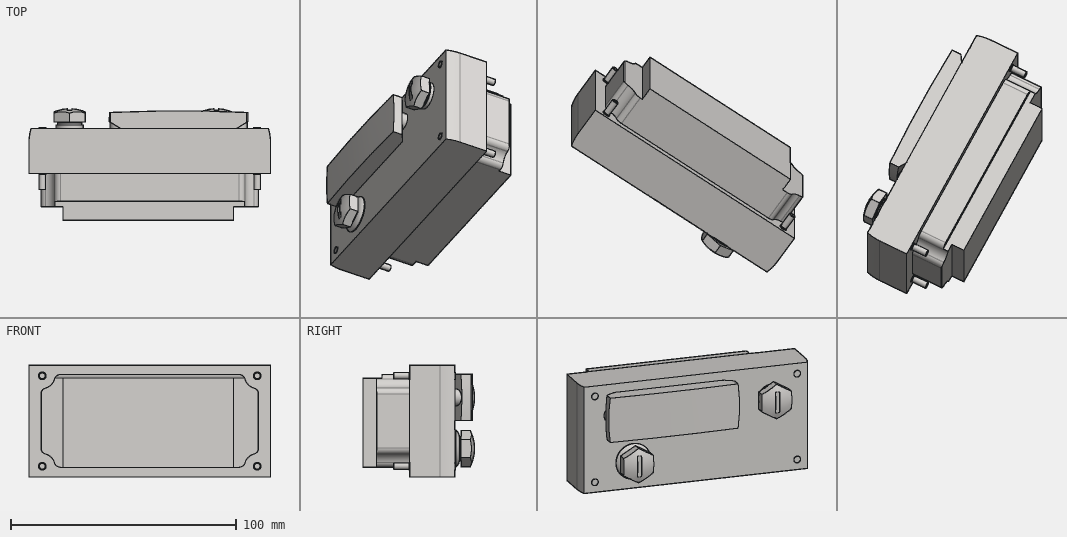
import cadquery as cq
import math


HOUSING_LENGTH = 107.3
HOUSING_HEIGHT = 49.7
HOUSING_DEPTH = 20.1
STRAIGHT_SIDE_DEPTH = 13.6
SIDE_ROUNDING_INSET = 1.0

SCREW_SPACING_X = 95.3
SCREW_SPACING_Z = 40.1
SCREW_DIAMETER = 3.1
SCREW_TIP_DIAMETER = 3.0
SCREW_REAR_LENGTH = 7.1
SCREW_FRONT_LENGTH = 0.3
SCREW_CHAMFER = 0.2
SCREW_SHOULDER_LENGTH = 0.3
SCREW_RECESS_DIAMETER = 3.4
SCREW_RECESS_DEPTH = 0.3

MODULE_LENGTH = 96.5
MODULE_TOP = 20.65
MODULE_BOTTOM = -20.5
MODULE_DEPTH = 14.7
NOTCH_RADIUS = 5.6
NOTCH_FILLET = 2.8
MODULE_END_CHAMFER = 0.35
MODULE_END_CHAMFER_HEIGHT = 25.8
LEDGE_TOP = 19.0
LEDGE_START = 12.3
LEDGE_CHAMFER_Z = 0.7
LEDGE_CHAMFER_Y = 0.2
PLATE_LEFT = -38.5
PLATE_RIGHT = 37.2
PLATE_DEPTH = 20.7

BOLT_CENTERS = {"collar": (-35.55, 10.45), "dome": (29.5, -12.2)}
BOLT_ACROSS_FLATS = 14.0
BOLT_TOP = 28.9
BOLT_HEAD_BASE = 22.9
BOLT_CROWN_RADIUS = 17.5
BOLT_NECK_DIAMETER = 10.77
BOLT_SLOT_WIDTH = 2.0
BOLT_SLOT_DEPTH = 0.7
SEAT_TOP = 22.4
SPIGOT_DIAMETER = 10.92
COLLAR_DIAMETER = 12.2
COLLAR_TOP = 21.7
DOME_RIM_DIAMETER = 16.5
DOME_TOP = 22.1
DOME_RIM_TOP = 20.5
DOME_SHOULDER_RADIUS = 4.0

COVER_CENTER_X = 12.8
COVER_CENTER_Z = 10.5
COVER_LENGTH = 61.6
COVER_HEIGHT = 20.7
COVER_TOP = 27.9
COVER_TOP_SAG = 0.7
COVER_END_SAG = 0.7
COVER_LIP_BASE = 23.2
COVER_FOOT_LENGTH = 51.6
BAR_LENGTH = 61.0
BAR_HEIGHT = 7.5


def corner_points():
    return [
        (side_x * SCREW_SPACING_X / 2, side_z * SCREW_SPACING_Z / 2)
        for side_x in (-1, 1)
        for side_z in (-1, 1)
    ]


def cylinder(center, diameter, start, end):
    """Cylinder along Y around the (x, z) center, between two Y levels."""
    x, z = center
    return cq.Workplane(
        cq.Solid.makeCylinder(diameter / 2, end - start, cq.Vector(x, start, z), cq.Vector(0, 1, 0))
    )


def box(x_range, y_range, z_range):
    """Box between the given limits on each axis."""
    size = [high - low for low, high in (x_range, y_range, z_range)]
    return cq.Workplane("XY").box(*size, centered=False).translate((x_range[0], y_range[0], z_range[0]))


def collar_seat():
    """Round collar with a narrower spigot up to the bolt neck."""
    collar = cylinder((0, 0), COLLAR_DIAMETER, HOUSING_DEPTH, COLLAR_TOP)
    return collar.union(cylinder((0, 0), SPIGOT_DIAMETER, COLLAR_TOP, SEAT_TOP))


def dome_seat():
    """Dome with a rounded shoulder on a short upright rim, with a spigot up to the bolt neck."""
    spigot_radius = SPIGOT_DIAMETER / 2
    rim_radius = DOME_RIM_DIAMETER / 2
    return (
        cq.Workplane("XY")
        .moveTo(0, HOUSING_DEPTH)
        .lineTo(rim_radius, HOUSING_DEPTH)
        .lineTo(rim_radius, DOME_RIM_TOP)
        .radiusArc((spigot_radius, DOME_TOP), -DOME_SHOULDER_RADIUS)
        .lineTo(spigot_radius, SEAT_TOP)
        .lineTo(0, SEAT_TOP)
        .close()
        .revolve(360, (0, 0, 0), (0, 1, 0))
    )


def make_housing():
    half_length = HOUSING_LENGTH / 2
    rounding_depth = HOUSING_DEPTH - STRAIGHT_SIDE_DEPTH
    side_radius = (rounding_depth**2 + SIDE_ROUNDING_INSET**2) / (2 * SIDE_ROUNDING_INSET)
    front_half_length = half_length - SIDE_ROUNDING_INSET
    body = (
        cq.Workplane("XY")
        .moveTo(-half_length, 0)
        .lineTo(half_length, 0)
        .lineTo(half_length, STRAIGHT_SIDE_DEPTH)
        .radiusArc((front_half_length, HOUSING_DEPTH), -side_radius)
        .lineTo(-front_half_length, HOUSING_DEPTH)
        .radiusArc((-half_length, STRAIGHT_SIDE_DEPTH), -side_radius)
        .close()
        .extrude(HOUSING_HEIGHT / 2, both=True)
    )
    for seat, name in ((collar_seat(), "collar"), (dome_seat(), "dome")):
        x, z = BOLT_CENTERS[name]
        body = body.union(seat.translate((x, 0, z)))
    for point in corner_points():
        body = body.cut(cylinder(point, SCREW_DIAMETER, 0, HOUSING_DEPTH))
        body = body.cut(cylinder(point, SCREW_RECESS_DIAMETER, 0, SCREW_RECESS_DEPTH))
    return body


def make_screw(center):
    body = cylinder(center, SCREW_DIAMETER, -SCREW_SHOULDER_LENGTH, HOUSING_DEPTH + SCREW_FRONT_LENGTH)
    tip = cylinder(center, SCREW_TIP_DIAMETER, -SCREW_REAR_LENGTH, -SCREW_SHOULDER_LENGTH)
    return body.union(tip.faces("<Y").chamfer(SCREW_CHAMFER))


def end_chamfer():
    """Wedge that bevels the rear edge of the flat +X end of the module."""
    end_x = MODULE_LENGTH / 2
    return (
        cq.Workplane("XY")
        .moveTo(end_x, -MODULE_DEPTH)
        .lineTo(end_x - MODULE_END_CHAMFER, -MODULE_DEPTH)
        .lineTo(end_x, -MODULE_DEPTH + MODULE_END_CHAMFER)
        .close()
        .extrude(MODULE_END_CHAMFER_HEIGHT / 2, both=True)
    )


def make_module():
    half_length = MODULE_LENGTH / 2
    body = box((-half_length, half_length), (-MODULE_DEPTH, 0), (MODULE_BOTTOM, MODULE_TOP))
    for point in corner_points():
        body = body.cut(cylinder(point, 2 * NOTCH_RADIUS, -MODULE_DEPTH, 0))
    body = body.edges("|Y").fillet(NOTCH_FILLET)
    body = body.cut(end_chamfer()).cut(end_chamfer().mirror("YZ"))

    ledge = (
        cq.Workplane("YZ")
        .moveTo(-LEDGE_START, LEDGE_TOP)
        .lineTo(-LEDGE_START, MODULE_TOP - LEDGE_CHAMFER_Z)
        .lineTo(-LEDGE_START + LEDGE_CHAMFER_Y, MODULE_TOP)
        .lineTo(-MODULE_DEPTH, MODULE_TOP)
        .lineTo(-MODULE_DEPTH, LEDGE_TOP)
        .close()
        .extrude(half_length, both=True)
    )
    plate = box((PLATE_LEFT, PLATE_RIGHT), (-PLATE_DEPTH, -MODULE_DEPTH), (MODULE_BOTTOM, LEDGE_TOP))
    return body.cut(ledge).union(plate)


def make_bolt(center):
    """Slotted hexagon bolt with a spherical crown, two corners pointing along Z."""
    x, z = center
    across_corners = BOLT_ACROSS_FLATS / math.cos(math.pi / 6)
    head = (
        cq.Workplane("XZ")
        .polygon(6, across_corners)
        .extrude(-(BOLT_TOP - BOLT_HEAD_BASE))
        .rotate((0, 0, 0), (0, 1, 0), 30)
        .translate((0, BOLT_HEAD_BASE, 0))
    )
    crown = cq.Workplane("XY").sphere(BOLT_CROWN_RADIUS).translate((0, BOLT_TOP - BOLT_CROWN_RADIUS, 0))
    slot = box(
        (-BOLT_SLOT_WIDTH / 2, BOLT_SLOT_WIDTH / 2),
        (BOLT_TOP - BOLT_SLOT_DEPTH, BOLT_TOP),
        (-across_corners / 2, across_corners / 2),
    )
    neck = cylinder((0, 0), BOLT_NECK_DIAMETER, SEAT_TOP, BOLT_HEAD_BASE)
    return head.intersect(crown).cut(slot).union(neck).translate((x, 0, z))


def make_cover():
    half_length = COVER_LENGTH / 2
    half_height = COVER_HEIGHT / 2
    half_foot = COVER_FOOT_LENGTH / 2
    shoulder = COVER_TOP - COVER_TOP_SAG
    section = (
        cq.Workplane("XY")
        .moveTo(-half_foot, HOUSING_DEPTH)
        .lineTo(half_foot, HOUSING_DEPTH)
        .lineTo(half_length, COVER_LIP_BASE)
        .lineTo(half_length, shoulder)
        .threePointArc((0, COVER_TOP), (-half_length, shoulder))
        .lineTo(-half_length, COVER_LIP_BASE)
        .close()
        .extrude(half_height, both=True)
    )
    corner_x = half_length - COVER_END_SAG
    outline = (
        cq.Workplane("XZ", origin=(0, HOUSING_DEPTH, 0))
        .moveTo(-corner_x, -half_height)
        .lineTo(corner_x, -half_height)
        .threePointArc((half_length, 0), (corner_x, half_height))
        .lineTo(-corner_x, half_height)
        .threePointArc((-half_length, 0), (-corner_x, -half_height))
        .close()
        .extrude(-(COVER_TOP - HOUSING_DEPTH))
    )
    bar = (
        cq.Workplane("XZ", origin=(0, HOUSING_DEPTH, 0))
        .slot2D(BAR_LENGTH, BAR_HEIGHT)
        .extrude(-(shoulder - HOUSING_DEPTH))
    )
    return section.intersect(outline).union(bar).translate((COVER_CENTER_X, 0, COVER_CENTER_Z))


housing = make_housing()
module = make_module()
cover = make_cover()
bolts = [make_bolt(center) for center in BOLT_CENTERS.values()]
screws = [make_screw(point) for point in corner_points()]

result = cq.Compound.makeCompound(
    [housing.val(), module.val(), cover.val()]
    + [bolt.val() for bolt in bolts]
    + [screw.val() for screw in screws]
)